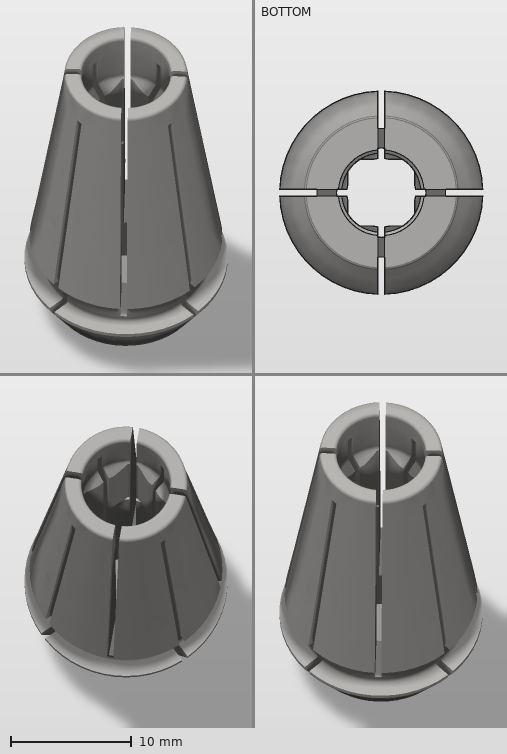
import cadquery as cq
import math

total_height = 27.5
flange_rim_bottom = 3.63
flange_top = 4.0
cone_bottom = 6.68

flange_radius = 16.8 / 2
neck_radius = 6.9
cone_bottom_radius = 7.98
cone_half_angle = 8.0
nose_half_angle = 30.0

shank_bore_radius = 3.27
drive_square_width = 5.5
drive_corner_radius = 3.5
drive_core_radius = 2.83
drive_bottom = 14.58
drive_cone_slope = 45.0
counterbore_radius = 3.68
counterbore_floor = 22.77

slot_width = 0.55
nose_slot_end = 25.52
rear_slot_floor = 4.5
edge_round = 0.28
neck_base_round = 0.22
neck_top_round = 0.2
nose_edge_round = 0.16
shank_bore_chamfer = 0.28

cone_top_radius = cone_bottom_radius - (total_height - cone_bottom) * math.tan(math.radians(cone_half_angle))
nose_radius = flange_radius - flange_rim_bottom * math.tan(math.radians(nose_half_angle))
drive_cone_depth = counterbore_radius * math.tan(math.radians(drive_cone_slope))


def circle_edges_at(radius, height):
    """Box selector for the full circular edge of a given radius at a given height."""
    margin = 0.015
    reach = radius + margin
    return cq.selectors.BoxSelector(
        (-reach, -reach, height - margin), (reach, reach, height + margin), boundingbox=True
    )


def revolve_profile(points):
    """Solid of revolution about Z from (radius, height) points."""
    return cq.Workplane("XZ").polyline(points).close().revolve(360, (0, 0, 0), (0, 1, 0))


def outer_body():
    """Nose taper, flange rim, neck groove and long clamping cone."""
    body = revolve_profile([
        (0, 0),
        (nose_radius, 0),
        (flange_radius, flange_rim_bottom),
        (flange_radius, flange_top),
        (neck_radius, flange_top),
        (neck_radius, cone_bottom),
        (cone_bottom_radius, cone_bottom),
        (cone_top_radius, total_height),
        (0, total_height),
    ])
    body = body.edges(circle_edges_at(cone_top_radius, total_height)).fillet(edge_round)
    body = body.edges(circle_edges_at(neck_radius, flange_top)).fillet(neck_base_round)
    body = body.edges(circle_edges_at(neck_radius, cone_bottom)).fillet(neck_top_round)
    return body.edges(circle_edges_at(nose_radius, 0)).fillet(nose_edge_round)


def shank_bore():
    """Round bore for the tool shank, chamfered at its mouth."""
    mouth_radius = shank_bore_radius + shank_bore_chamfer
    return revolve_profile([
        (0, 0),
        (mouth_radius, 0),
        (shank_bore_radius, shank_bore_chamfer),
        (shank_bore_radius, drive_bottom),
        (0, drive_bottom),
    ])


def drive_square():
    """Square drive with corners cut to a circle, joined with its round core."""
    length = counterbore_floor - drive_bottom
    base = cq.Workplane("XY").workplane(offset=drive_bottom)
    square = base.rect(drive_square_width, drive_square_width).extrude(length)
    square = square.intersect(base.circle(drive_corner_radius).extrude(length))
    return square.union(base.circle(drive_core_radius).extrude(length))


def counterbore():
    """Rear clearance bore with a rounded, conical floor."""
    bore = revolve_profile([
        (0, counterbore_floor - drive_cone_depth),
        (counterbore_radius, counterbore_floor),
        (counterbore_radius, total_height),
        (0, total_height),
    ])
    return bore.edges(circle_edges_at(counterbore_radius, counterbore_floor)).fillet(edge_round)


def slots(first_angle, bottom, top):
    """Two crossing slots that divide the wall into four, between two heights."""
    length = 4 * flange_radius
    cutter = cq.Workplane("XY").workplane(offset=bottom)
    cutter = cutter.rect(length, slot_width).extrude(top - bottom)
    cross = cutter.union(cutter.rotate((0, 0, 0), (0, 0, 1), 90))
    return cross.rotate((0, 0, 0), (0, 0, 1), first_angle)


collet = outer_body()
collet = collet.cut(shank_bore()).cut(drive_square()).cut(counterbore())
collet = collet.edges(circle_edges_at(counterbore_radius, total_height)).fillet(edge_round)
collet = collet.cut(slots(0, 0, nose_slot_end))
collet = collet.cut(slots(45, rear_slot_floor, total_height))

result = collet